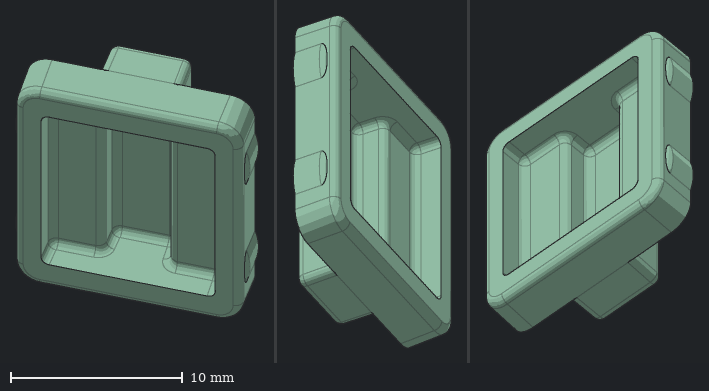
import cadquery as cq
import math

height = 15.8
cap_width = 13.78
cap_depth = 2.8
stem_width = 5.0
stem_depth = 2.5
draft = 1.0
edge_radius = 0.5
cap_corner_radius = 1.5

cavity_width = 10.52
cavity_height = 12.01
slot_width = 3.95
ledge_thickness = 1.0
slot_floor_thickness = 1.5
cavity_draft = 2.0
end_radius = 0.49

bump_radius = 3.95
bump_reach = 7.102
bump_spacing = 8.0
bump_length = 2.25


def make_cap():
    outline = cq.Workplane("XZ").rect(cap_width, height).extrude(cap_depth, taper=draft)
    rounded = outline.edges("not(|X or |Z)").fillet(cap_corner_radius)
    return rounded.faces("<Y").edges().fillet(edge_radius)


def make_stem():
    block = cq.Workplane("XZ").rect(stem_width, height).extrude(-stem_depth, taper=draft)
    rounded = block.edges("not(|X or |Z)").fillet(edge_radius)
    return rounded.faces(">Y").edges().fillet(edge_radius)


def make_bump(side, z):
    center_x = side * (bump_reach - bump_radius)
    bump = cq.Workplane("XZ").center(center_x, z).circle(bump_radius).extrude(bump_length, taper=draft)
    bump = bump.faces("<Y").edges().fillet(edge_radius)
    inner_x = cavity_width / 2 + edge_radius
    keep_width = bump_reach - inner_x
    keep_x = side * (inner_x + keep_width / 2)
    keep = cq.Workplane("XY").box(keep_width, 2 * cap_depth, height).translate((keep_x, 0, 0))
    return bump.intersect(keep)


def make_cavity():
    mouth_y = -cap_depth
    ledge_y = -ledge_thickness
    slot_floor_y = stem_depth - slot_floor_thickness
    slope = math.tan(math.radians(cavity_draft))
    mouth_x = cavity_width / 2
    ledge_x = mouth_x - (ledge_y - mouth_y) * slope
    slot_x = slot_width / 2
    slot_floor_x = slot_x - (slot_floor_y - ledge_y) * slope
    right_side = [(mouth_x, mouth_y), (ledge_x, ledge_y), (slot_x, ledge_y), (slot_floor_x, slot_floor_y)]
    left_side = [(-x, y) for x, y in reversed(right_side)]
    block = cq.Workplane("XY").polyline(right_side + left_side).close().extrude(cavity_height / 2, both=True)
    block = block.edges("|Z").edges("not <Y").fillet(edge_radius)
    ends = block.faces("<Z or >Z").edges("not <Y")
    return ends.fillet(end_radius)


result = make_cap().union(make_stem())
for side in (-1, 1):
    for z in (-bump_spacing / 2, bump_spacing / 2):
        result = result.union(make_bump(side, z))
result = result.cut(make_cavity())